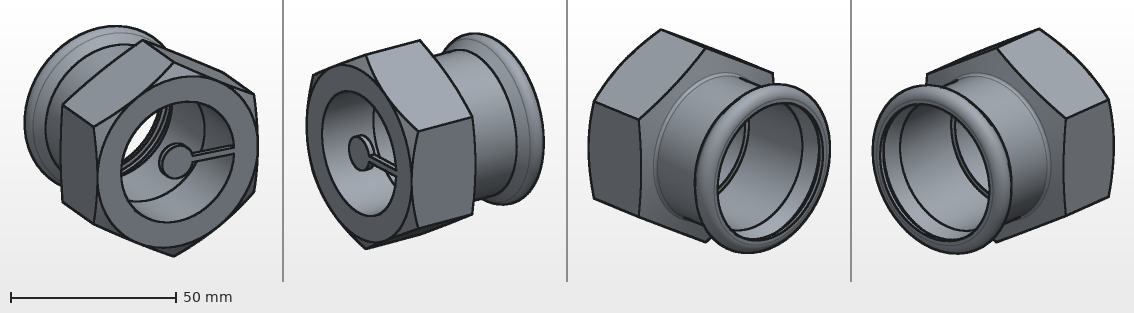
import cadquery as cq
import math

total_length = 51.4

corner_radius = 31.75
flat_radius = corner_radius * math.cos(math.radians(30))
back_corner_x = 28.9
back_cone_angle = 15.0
end_chamfer_angle = 30.0

sleeve_radius = 22.75
bead_radius = 3.4
bead_outer_radius = 26.5
bead_center_radius = bead_outer_radius - bead_radius
bead_round_end_x = 6.0
bead_cone_end_x = 9.1
sleeve_fillet = 1.0
pick_margin = 0.05

back_slope = math.tan(math.radians(back_cone_angle))
back_x = back_corner_x - (corner_radius - sleeve_radius) * back_slope

mouth_radius = 21.65
mouth_depth = 1.5
groove_radius = 23.25
groove_end_x = 3.6
socket_radius = 20.95
lead_in_end_x = 8.5
socket_end_x = 32.4
nut_bore_radius = 19.4

disc_radius = 5.3
arm_width = 2.05
disc_thickness = 2.05
arm_overlap = 0.65


def revolve_about_x(profile):
    """Turn a closed XY profile around the X axis."""
    return profile.close().revolve(360, (0, 0, 0), (1, 0, 0))


def make_nut():
    chamfer_length = (corner_radius - flat_radius) * math.tan(math.radians(end_chamfer_angle))
    hexagon = (
        cq.Workplane("YZ", origin=(back_x, 0, 0))
        .polygon(6, 2 * corner_radius)
        .extrude(total_length - back_x)
        .rotate((0, 0, 0), (1, 0, 0), 30)
    )
    turned_envelope = revolve_about_x(
        cq.Workplane("XY")
        .moveTo(back_x, 0)
        .lineTo(back_x, sleeve_radius)
        .lineTo(back_corner_x, corner_radius)
        .lineTo(total_length - chamfer_length, corner_radius)
        .lineTo(total_length, flat_radius)
        .lineTo(total_length, 0)
    )
    return hexagon.intersect(turned_envelope)


def make_sleeve():
    round_end_offset = bead_round_end_x - bead_radius
    round_end_radius = bead_center_radius + math.sqrt(bead_radius**2 - round_end_offset**2)
    return revolve_about_x(
        cq.Workplane("XY")
        .lineTo(0, bead_center_radius)
        .threePointArc((bead_radius, bead_outer_radius), (bead_round_end_x, round_end_radius))
        .lineTo(bead_cone_end_x, sleeve_radius)
        .lineTo(back_corner_x, sleeve_radius)
        .lineTo(back_corner_x, 0)
    )


def make_bore():
    return revolve_about_x(
        cq.Workplane("XY")
        .lineTo(0, mouth_radius)
        .lineTo(mouth_depth, mouth_radius)
        .lineTo(mouth_depth, groove_radius)
        .lineTo(groove_end_x, groove_radius)
        .lineTo(lead_in_end_x, socket_radius)
        .lineTo(socket_end_x, socket_radius)
        .lineTo(socket_end_x, nut_bore_radius)
        .lineTo(total_length, nut_bore_radius)
        .lineTo(total_length, 0)
    )


def make_disc_and_arm():
    end_plane = cq.Workplane("YZ", origin=(total_length - disc_thickness, 0, 0))
    disc = end_plane.circle(disc_radius).extrude(disc_thickness)
    arm_length = nut_bore_radius + arm_overlap
    arm = end_plane.center(arm_length / 2, 0).rect(arm_length, arm_width).extrude(disc_thickness)
    return disc.union(arm)


body = make_nut().union(make_sleeve())
root_edges = cq.selectors.BoxSelector(
    (back_x - pick_margin, -sleeve_radius - pick_margin, -sleeve_radius - pick_margin),
    (back_x + pick_margin, sleeve_radius + pick_margin, sleeve_radius + pick_margin),
    boundingbox=True,
)
body = body.edges(root_edges).fillet(sleeve_fillet)
result = body.cut(make_bore()).union(make_disc_and_arm())